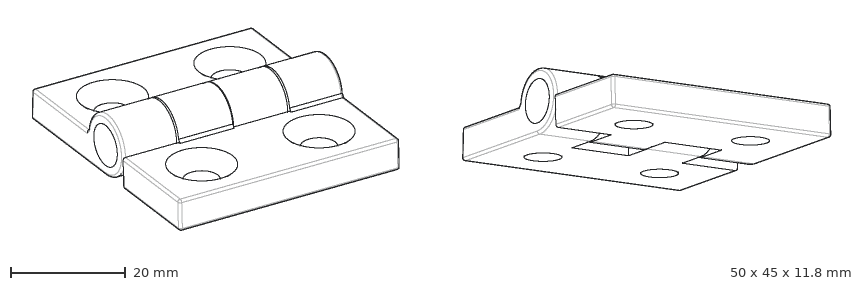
import cadquery as cq
import math

length_x = 49.95
length_y = 45.0
barrel_diameter = 11.75
leaf_thickness = 6.0
pin_diameter = 7.9

edge_radius = 0.5
root_height = 0.6
root_width = 0.5
draft_angle = 2.5

middle_gap = 0.15
outer_gap = 0.4
inner_knuckle_end = 11.15

hole_diameter = 6.6
countersink_diameter = 12.6
countersink_angle = 90.0
hole_x = 15.0
hole_y = 12.0

half_y = length_y / 2
barrel_radius = barrel_diameter / 2
axis_z = barrel_radius
draft = math.radians(draft_angle)
draft_run = leaf_thickness * math.tan(draft)
corner_allowance = edge_radius * (math.tan(draft) + 1 / math.cos(draft) - 1)
end_bottom_x = -(length_x / 2 + corner_allowance)
end_top_x = end_bottom_x + draft_run
slot_top_x = -barrel_radius
slot_bottom_x = slot_top_x - draft_run

root_top_z = leaf_thickness + root_height
root_top_x = -math.sqrt(barrel_radius**2 - (root_top_z - axis_z) ** 2)
root_bottom_x = root_top_x - root_width


def extrude_along_y(sketch, y_start, y_end):
    """Extrude a closed XZ outline from y_start to y_end."""
    return sketch.extrude(y_start - y_end).translate((0, y_start, 0))


def plate():
    """Flat part of the leaf, ending at the drafted slot wall."""
    outline = cq.Workplane("XZ").polyline(
        [
            (end_bottom_x, 0),
            (end_top_x, leaf_thickness),
            (slot_top_x, leaf_thickness),
            (slot_bottom_x, 0),
        ]
    ).close()
    return extrude_along_y(outline, -half_y, half_y)


def knuckle(y_start, y_end):
    """Knuckle with its root chamfer and the web that joins it to the plate."""
    outline = (
        cq.Workplane("XZ")
        .moveTo(root_bottom_x, 0)
        .lineTo(root_bottom_x, leaf_thickness)
        .lineTo(root_top_x, root_top_z)
        .threePointArc((barrel_radius, axis_z), (0, 0))
        .close()
    )
    return extrude_along_y(outline, y_start, y_end)


def round_outer_edges(leaf):
    """Round the outer end wall and both Y ends, leaving the slot walls sharp."""
    end_wall_edges = leaf.faces("<X").edges()
    front_edges = leaf.faces("<Y").edges()
    back_edges = leaf.faces(">Y").edges("|X")
    return end_wall_edges.add(front_edges).add(back_edges).fillet(edge_radius)


def make_leaf():
    """Leaf on the -X side; its knuckles are the first and third from -Y."""
    outer_knuckle_end = -(inner_knuckle_end + outer_gap)
    leaf = plate()
    leaf = leaf.union(knuckle(-half_y, outer_knuckle_end))
    leaf = leaf.union(knuckle(middle_gap / 2, inner_knuckle_end))
    leaf = round_outer_edges(leaf.clean())
    bore = cq.Workplane("XZ").center(0, axis_z).circle(pin_diameter / 2)
    leaf = leaf.cut(extrude_along_y(bore, -half_y, half_y))
    return (
        leaf.copyWorkplane(cq.Workplane("XY", origin=(0, 0, leaf_thickness)))
        .pushPoints([(-hole_x, -hole_y), (-hole_x, hole_y)])
        .cskHole(hole_diameter, countersink_diameter, countersink_angle)
    )


def make_pin():
    """Plain pin through all four knuckles, flush with both ends."""
    section = cq.Workplane("XZ").center(0, axis_z).circle(pin_diameter / 2)
    return extrude_along_y(section, -half_y, half_y)


leaves = [make_leaf().rotate((0, 0, 0), (0, 0, 1), turn) for turn in (0, 180)]
pin = make_pin()

result = cq.Compound.makeCompound([*[leaf.val() for leaf in leaves], pin.val()])